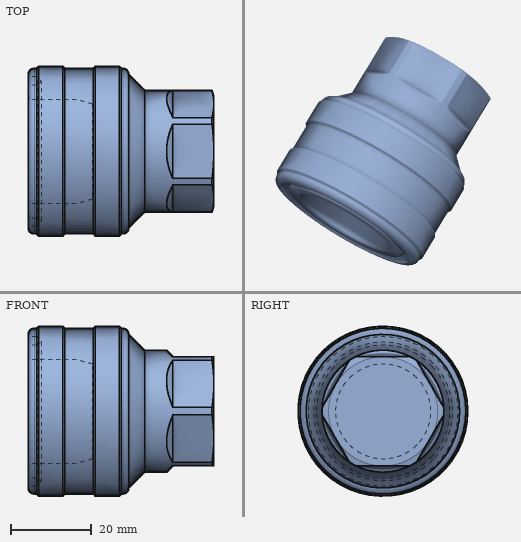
import cadquery as cq
import math

length = 46.0
sleeve_radius = 20.54
band_radius = 21.045
edge_radius = 1.5
shoulder_x = 24.95
neck_radius = 15.11

band_spans = [(2.05, 9.05), (16.15, 23.1)]
band_chamfer = band_radius - sleeve_radius

mouth_radius = 18.55
recess_floor_radius = 17.2
mouth_depth = 2.3
recess_depth = 3.2

socket_radius = 16.49
socket_outer_fillet = 1.0
socket_lip_fillet = 0.75
collar_fillet = recess_floor_radius - socket_radius
bore_radius = 12.905
bore_cylinder_end_x = 11.9
bore_floor_radius = 11.78
bore_floor_x = 15.9

flat_count = 6
flat_distance = 13.52
flat_start_x = 35.9
end_chamfer_length = 0.45


def make_outer_body():
    """Rounded sleeve, 45 degree shoulder and neck with a chamfered end."""
    arc_offset = edge_radius * (1 - math.sqrt(0.5))
    face_radius = sleeve_radius - edge_radius
    cone_end_x = shoulder_x + face_radius - neck_radius
    return (
        cq.Workplane("XY")
        .moveTo(0, 0)
        .lineTo(0, face_radius)
        .threePointArc((arc_offset, sleeve_radius - arc_offset), (edge_radius, sleeve_radius))
        .lineTo(shoulder_x - edge_radius, sleeve_radius)
        .threePointArc((shoulder_x - arc_offset, sleeve_radius - arc_offset), (shoulder_x, face_radius))
        .lineTo(cone_end_x, neck_radius)
        .lineTo(length - end_chamfer_length, neck_radius)
        .lineTo(length, flat_distance)
        .lineTo(length, 0)
        .close()
        .revolve(360, (0, 0, 0), (1, 0, 0))
    )


def make_band(start_x, end_x):
    """Raised grip ring with chamfered edges."""
    return (
        cq.Workplane("YZ", origin=(start_x, 0, 0))
        .circle(band_radius)
        .extrude(end_x - start_x)
        .edges()
        .chamfer(band_chamfer)
    )


def make_front_recess():
    """Straight opening at the front face with a tapered floor."""
    return (
        cq.Workplane("XY")
        .polyline([
            (0, 0),
            (0, mouth_radius),
            (mouth_depth, mouth_radius),
            (recess_depth, recess_floor_radius),
            (recess_depth, 0),
        ])
        .close()
        .revolve(360, (0, 0, 0), (1, 0, 0))
    )


def make_socket():
    """Round-edged inner socket standing in the recess."""
    return (
        cq.Workplane("YZ")
        .circle(socket_radius)
        .extrude(recess_depth)
        .faces("<X")
        .edges()
        .fillet(socket_outer_fillet)
    )


def make_collar():
    """Collar behind the socket, with its front edge rounded down to the socket wall."""
    return (
        cq.Workplane("YZ", origin=(recess_depth - collar_fillet, 0, 0))
        .circle(recess_floor_radius)
        .extrude(2 * collar_fillet)
        .faces("<X")
        .edges()
        .fillet(collar_fillet)
    )


def make_bore():
    """Blind socket bore with a rounded lip and a tapered lower end."""
    lip_offset = socket_lip_fillet * (1 - math.sqrt(0.5))
    return (
        cq.Workplane("XY")
        .moveTo(0, 0)
        .lineTo(0, bore_radius + socket_lip_fillet)
        .threePointArc((lip_offset, bore_radius + lip_offset), (socket_lip_fillet, bore_radius))
        .lineTo(bore_cylinder_end_x, bore_radius)
        .lineTo(bore_floor_x, bore_floor_radius)
        .lineTo(bore_floor_x, 0)
        .close()
        .revolve(360, (0, 0, 0), (1, 0, 0))
    )


def make_flat_cutter(angle):
    """Cutter for one wrench flat with a 45 degree run-out toward the shoulder."""
    cut_height = neck_radius - flat_distance + 0.45
    return (
        cq.Workplane("XZ")
        .polyline([
            (flat_start_x, flat_distance),
            (length, flat_distance),
            (length, flat_distance + cut_height),
            (flat_start_x - cut_height, flat_distance + cut_height),
        ])
        .close()
        .extrude(neck_radius, both=True)
        .rotate((0, 0, 0), (1, 0, 0), angle)
    )


body = make_outer_body()
for start_x, end_x in band_spans:
    body = body.union(make_band(start_x, end_x))
body = body.cut(make_front_recess()).union(make_collar()).union(make_socket()).cut(make_bore())
for index in range(flat_count):
    body = body.cut(make_flat_cutter(index * 360 / flat_count))

result = body